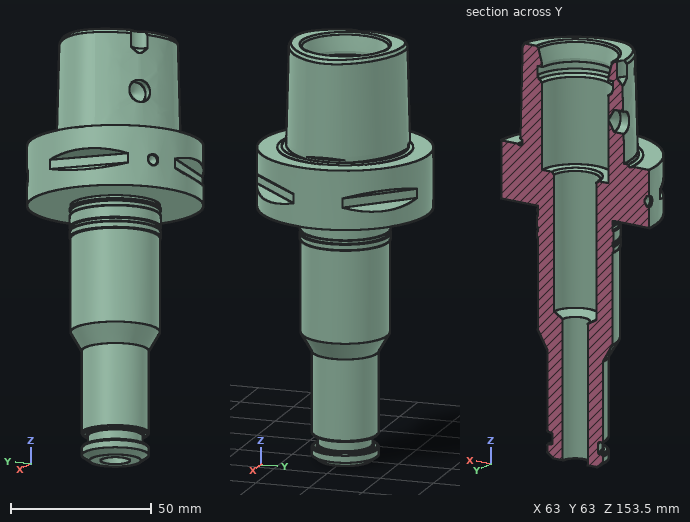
import cadquery as cq
import math

TOTAL_HEIGHT = 153.5
FLANGE_BOTTOM_Z = 93.5
FLANGE_TOP_Z = 115.5

FLANGE_RADIUS = 63.0 / 2
GRIPPER_SLOT_Z = 103.5
GRIPPER_SLOT_COUNT = 4
GRIPPER_FLOOR_DISTANCE = 27.8
GRIPPER_FLOOR_HEIGHT = 3.4
GRIPPER_FLANK_ANGLE = 30.0
FLANGE_HOLE_DIAMETER = 4.0
FLANGE_HOLE_DEPTH = 0.9
DRILL_TIP_ANGLE = 118.0

COUPLING_RADIUS = 22.1
COUPLING_LOBE = 1.2
LOBE_HALF_ANGLE = 25.0
LOBE_COUNT = 3
POINTS_PER_STRETCH = 9
COUPLING_TAPER = 0.9
COUPLING_BASE_Z = 117.9
COUPLING_CHAMFER_WIDTH = 0.8
COUPLING_CHAMFER_HEIGHT = 1.4
RELIEF_RADIUS = 22.5
RELIEF_TOP_RADIUS = 23.5
RELIEF_HEIGHT = 0.9

SEAT_RADIUS = 22.7
SEAT_HEIGHT = 0.5
GROOVE_RADIUS = 24.3
GROOVE_DEPTH = 0.5

SIDE_HOLE_DIAMETER = 8.1
SIDE_HOLE_Z = 131.1
SIDE_HOLE_DEPTH = 4.3
KEYWAY_RADIUS = 3.7
KEYWAY_AXIS_X = -21.5
KEYWAY_DEPTH = 6.1

SOCKET_RADIUS = 28.0 / 2
SOCKET_MOUTH_RADIUS = 15.5
SOCKET_CHAMFER_RADIUS = 32.5 / 2
SOCKET_CHAMFER_DEPTH = 0.8
SOCKET_TAPER_DEPTH = 6.5
SOCKET_LIP_DEPTH = 7.7
SOCKET_GROOVE_RADIUS = 16.0
SOCKET_GROOVE_BOTTOM = 10.9
SOCKET_LEDGE_RADIUS = 15.4
SOCKET_LEDGE_DEPTH = 12.3
SOCKET_STEP_DEPTH = 13.4
SOCKET_FLOOR_Z = 107.5
BORE_RADIUS = 17.8 / 2
BORE_CHAMFER = 0.9
BORE_BOTTOM_Z = 55.3
THROUGH_RADIUS = 10.5 / 2

BODY_RADIUS = 32.0 / 2
COLLAR_RADIUS = 32.5 / 2
COLLAR_CHAMFER = 0.3
COLLARS = [(91.5, 92.4), (85.2, 90.0), (81.5, 84.1)]
BODY_BOTTOM_Z = 47.1
PILOT_TOP_Z = 40.2
PILOT_RADIUS = 24.0 / 2
PILOT_BOTTOM_Z = 9.5
NECK_RADIUS = 19.5 / 2
NECK_BOTTOM_Z = 5.2
NECK_CORNER_CHAMFER = 0.5
HEAD_EDGE_CHAMFER = 0.6
TIP_RADIUS = 9.2
TIP_CHAMFER_HEIGHT = 2.0


def revolve_profile(points):
    """Solid of revolution about Z from (radius, height) points."""
    return cq.Workplane("XZ").polyline(points).close().revolve(360, (0, 0, 0), (0, 1, 0))


def drill(diameter, depth):
    """Drill-shaped tool along +X: a cylinder from x = -diameter to x = depth, with a conical tip."""
    radius = diameter / 2
    tip = depth + radius / math.tan(math.radians(DRILL_TIP_ANGLE / 2))
    profile = [(-diameter, 0), (-diameter, radius), (depth, radius), (tip, 0)]
    return cq.Workplane("XY").polyline(profile).close().revolve(360, (0, 0, 0), (1, 0, 0))


def make_shank():
    shank = revolve_profile([
        (0, 0),
        (TIP_RADIUS, 0),
        (PILOT_RADIUS, TIP_CHAMFER_HEIGHT),
        (PILOT_RADIUS, NECK_BOTTOM_Z - HEAD_EDGE_CHAMFER),
        (PILOT_RADIUS - HEAD_EDGE_CHAMFER, NECK_BOTTOM_Z),
        (NECK_RADIUS + NECK_CORNER_CHAMFER, NECK_BOTTOM_Z),
        (NECK_RADIUS, NECK_BOTTOM_Z + NECK_CORNER_CHAMFER),
        (NECK_RADIUS, PILOT_BOTTOM_Z - NECK_CORNER_CHAMFER),
        (NECK_RADIUS + NECK_CORNER_CHAMFER, PILOT_BOTTOM_Z),
        (PILOT_RADIUS - HEAD_EDGE_CHAMFER, PILOT_BOTTOM_Z),
        (PILOT_RADIUS, PILOT_BOTTOM_Z + HEAD_EDGE_CHAMFER),
        (PILOT_RADIUS, PILOT_TOP_Z),
        (BODY_RADIUS, BODY_BOTTOM_Z),
        (BODY_RADIUS, FLANGE_BOTTOM_Z),
        (0, FLANGE_BOTTOM_Z),
    ])
    for bottom, top in COLLARS:
        shank = shank.union(revolve_profile([
            (0, bottom),
            (BODY_RADIUS, bottom),
            (COLLAR_RADIUS, bottom + COLLAR_CHAMFER),
            (COLLAR_RADIUS, top - COLLAR_CHAMFER),
            (BODY_RADIUS, top),
            (0, top),
        ]))
    return shank


def make_gripper_slot():
    """Slot across the +X side of the flange, with a flat floor and flaring flanks."""
    floor_half = GRIPPER_FLOOR_HEIGHT / 2
    depth = FLANGE_RADIUS - GRIPPER_FLOOR_DISTANCE
    mouth_half = floor_half + depth * math.tan(math.radians(GRIPPER_FLANK_ANGLE))
    return (
        cq.Workplane("XZ")
        .polyline([
            (GRIPPER_FLOOR_DISTANCE, GRIPPER_SLOT_Z - floor_half),
            (FLANGE_RADIUS, GRIPPER_SLOT_Z - mouth_half),
            (FLANGE_RADIUS, GRIPPER_SLOT_Z + mouth_half),
            (GRIPPER_FLOOR_DISTANCE, GRIPPER_SLOT_Z + floor_half),
        ])
        .close()
        .extrude(FLANGE_RADIUS, both=True)
    )


def make_flange():
    profile = (
        cq.Workplane("XZ")
        .moveTo(0, FLANGE_BOTTOM_Z)
        .lineTo(FLANGE_RADIUS, FLANGE_BOTTOM_Z)
        .lineTo(FLANGE_RADIUS, FLANGE_TOP_Z)
        .lineTo(GROOVE_RADIUS, FLANGE_TOP_Z)
        .threePointArc(
            ((GROOVE_RADIUS + SEAT_RADIUS) / 2, FLANGE_TOP_Z - GROOVE_DEPTH),
            (SEAT_RADIUS, FLANGE_TOP_Z + SEAT_HEIGHT),
        )
        .lineTo(0, FLANGE_TOP_Z + SEAT_HEIGHT)
        .close()
    )
    flange = profile.revolve(360, (0, 0, 0), (0, 1, 0))
    slot = make_gripper_slot()
    for index in range(GRIPPER_SLOT_COUNT):
        angle = (index + 0.5) * 360 / GRIPPER_SLOT_COUNT
        flange = flange.cut(slot.rotate((0, 0, 0), (0, 0, 1), angle))
    hole = drill(FLANGE_HOLE_DIAMETER, FLANGE_HOLE_DEPTH)
    return flange.cut(hole.translate((-FLANGE_RADIUS, 0, GRIPPER_SLOT_Z)))


def coupling_point(radius, angle):
    """Point of the lobed curve whose outward normal is at the given angle in radians."""
    reach = radius + COUPLING_LOBE * math.cos(LOBE_COUNT * angle)
    slope = -LOBE_COUNT * COUPLING_LOBE * math.sin(LOBE_COUNT * angle)
    x = reach * math.cos(angle) - slope * math.sin(angle)
    y = reach * math.sin(angle) + slope * math.cos(angle)
    return (x, y)


def coupling_section(height, radius):
    """Closed lobed outline, one smooth stretch per lobe and per flatter side between lobes."""
    pitch = 360 / LOBE_COUNT
    ends = []
    for lobe in range(LOBE_COUNT):
        ends += [lobe * pitch - LOBE_HALF_ANGLE, lobe * pitch + LOBE_HALF_ANGLE]
    ends.append(ends[0] + 360)

    outline = cq.Workplane("XY", origin=(0, 0, height))
    outline = outline.moveTo(*coupling_point(radius, math.radians(ends[0])))
    for start, stop in zip(ends, ends[1:]):
        step = (stop - start) / (POINTS_PER_STRETCH - 1)
        angles = [math.radians(start + i * step) for i in range(POINTS_PER_STRETCH)]
        tangents = [(-math.sin(a), math.cos(a)) for a in (angles[0], angles[-1])]
        points = [coupling_point(radius, a) for a in angles[1:]]
        outline = outline.spline(points, tangents=tangents, includeCurrent=True)
    return outline.close().val()


def make_coupling():
    top_radius = COUPLING_RADIUS - COUPLING_TAPER
    sections = [
        coupling_section(FLANGE_TOP_Z, COUPLING_RADIUS),
        coupling_section(COUPLING_BASE_Z, COUPLING_RADIUS),
        coupling_section(TOTAL_HEIGHT - COUPLING_CHAMFER_HEIGHT, top_radius),
        coupling_section(TOTAL_HEIGHT, top_radius - COUPLING_CHAMFER_WIDTH),
    ]
    coupling = cq.Workplane(cq.Solid.makeLoft(sections, True))

    relief_top_z = FLANGE_TOP_Z + SEAT_HEIGHT + RELIEF_HEIGHT
    cone_top_z = relief_top_z + RELIEF_TOP_RADIUS - RELIEF_RADIUS
    envelope = revolve_profile([
        (0, FLANGE_TOP_Z),
        (RELIEF_RADIUS, FLANGE_TOP_Z),
        (RELIEF_RADIUS, relief_top_z),
        (RELIEF_TOP_RADIUS, cone_top_z),
        (RELIEF_TOP_RADIUS, TOTAL_HEIGHT),
        (0, TOTAL_HEIGHT),
    ])
    return coupling.intersect(envelope)


def make_side_hole():
    wall_x = -(COUPLING_RADIUS - COUPLING_LOBE)
    return drill(SIDE_HOLE_DIAMETER, SIDE_HOLE_DEPTH).translate((wall_x, 0, SIDE_HOLE_Z))


def make_keyway():
    """Vertical round-backed notch with a 45 degree conical end."""
    floor_z = TOTAL_HEIGHT - KEYWAY_DEPTH
    notch = revolve_profile([
        (0, floor_z - KEYWAY_RADIUS),
        (KEYWAY_RADIUS, floor_z),
        (KEYWAY_RADIUS, TOTAL_HEIGHT),
        (0, TOTAL_HEIGHT),
    ])
    return notch.translate((KEYWAY_AXIS_X, 0, 0))


def make_bore():
    bore_cone_height = (BORE_RADIUS - THROUGH_RADIUS) / math.tan(math.radians(DRILL_TIP_ANGLE / 2))
    return revolve_profile([
        (0, 0),
        (THROUGH_RADIUS, 0),
        (THROUGH_RADIUS, BORE_BOTTOM_Z - bore_cone_height),
        (BORE_RADIUS, BORE_BOTTOM_Z),
        (BORE_RADIUS, SOCKET_FLOOR_Z - BORE_CHAMFER),
        (BORE_RADIUS + BORE_CHAMFER, SOCKET_FLOOR_Z),
        (SOCKET_RADIUS, SOCKET_FLOOR_Z),
        (SOCKET_RADIUS, TOTAL_HEIGHT - SOCKET_STEP_DEPTH),
        (SOCKET_LEDGE_RADIUS, TOTAL_HEIGHT - SOCKET_LEDGE_DEPTH),
        (SOCKET_GROOVE_RADIUS, TOTAL_HEIGHT - SOCKET_GROOVE_BOTTOM),
        (SOCKET_GROOVE_RADIUS, TOTAL_HEIGHT - SOCKET_LIP_DEPTH),
        (SOCKET_RADIUS, TOTAL_HEIGHT - SOCKET_LIP_DEPTH),
        (SOCKET_RADIUS, TOTAL_HEIGHT - SOCKET_TAPER_DEPTH),
        (SOCKET_MOUTH_RADIUS, TOTAL_HEIGHT - SOCKET_CHAMFER_DEPTH),
        (SOCKET_CHAMFER_RADIUS, TOTAL_HEIGHT),
        (0, TOTAL_HEIGHT),
    ])


result = (
    make_shank()
    .union(make_flange())
    .union(make_coupling())
    .cut(make_side_hole())
    .cut(make_keyway())
    .cut(make_bore())
)